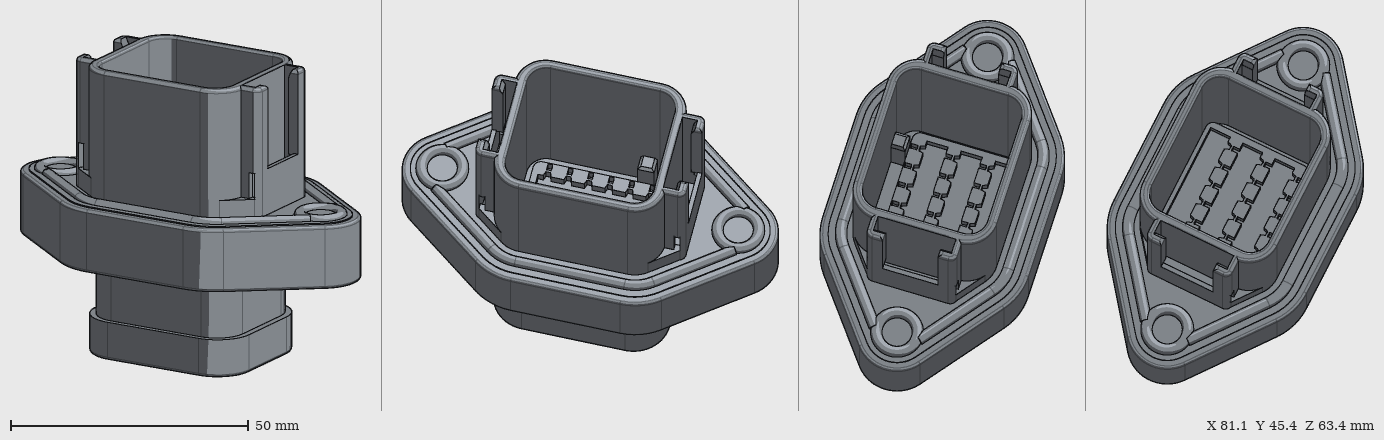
import cadquery as cq
import math

PART_BOTTOM = -21.0
COLLAR_TOP = -12.7
RIM_TOP = 13.75
DECK_TOP = 14.0
PART_TOP = 42.37
CAVITY_FLOOR = 2.0
INSERT_TOP = 6.0

CORNER_X = 11.85
CORNER_Y = 9.1

EAR_X = 32.05
EAR_RADIUS = 81.07 / 2 - EAR_X
SHOULDER_RADIUS = 45.36 / 2 - CORNER_Y
FLANGE_EDGE_FILLET = 0.6
BORDER_WIDTH = 1.75

BEAD_RADIUS = 1.22
BEAD_INSET = 4.46
BEAD_AXIS_Z = 13.85
RING_RADIUS = 4.38
STRIP_SETBACK = 2.7

NECK_SIZE = (35.05, 28.25)
NECK_CORNER = 6.4
COLLAR_SIZE = (38.0, 30.7)
COLLAR_CORNER = 7.8
COLLAR_BOTTOM_FILLET = 0.6

HOUSING_CORNER = 6.6
HOUSING_SIZE = (2 * (CORNER_X + HOUSING_CORNER), 2 * (CORNER_Y + HOUSING_CORNER))
RIM_OUTER_FILLET = 0.75
CAVITY_SIZE = (32.1, 27.5)
CAVITY_CORNER = 4.2
CAVITY_RIM_FILLET = 0.5

GUARD_X = 22.75
GUARD_Y = 9.9
GUARD_CORNER = 1.5
GUARD_WALL = 1.0
GUARD_INNER_Y = 8.6
GUARD_POCKET_X = 17.9
WINDOW_Y = 6.1
WINDOW_SILL = 24.1
SLOT_X = (20.45, 21.75)
SLOT_Z = (18.1, 23.75)
PILLAR_INNER_X = 20.4
PILLAR_CHAMFER = (0.8, 1.8)
GUSSET_OUTER_X = 22.4

INSERT_HALF_X = 14.5
INSERT_Y = (-10.6, 13.3)
INSERT_CORNER = 1.7
ROW_COUNT = 3
ROW_PITCH = 7.57
ROW_TOP_Y = 12.33
ROW_HEIGHT = 4.65
ROW_HALF_X = 13.1
NOTCH_COUNT = 6
NOTCH_PITCH = 4.44
NOTCH_DEPTH = 1.0
NOTCH_WIDE = 1.7
NOTCH_NARROW = 1.0
TAB_WIDTH = 1.0
TAB_LENGTH = 1.42
POCKET_DEPTH = 2.0

KEY_X = (-11.3, -7.7)
KEY_TIP_Y = -10.6
KEY_TOP = 12.0
KEY_CHAMFER = 0.6

CENTRE_DX = EAR_X - CORNER_X
CENTRE_DISTANCE = math.hypot(CENTRE_DX, CORNER_Y)
LINK_ANGLE = math.atan2(CORNER_Y, -CENTRE_DX)
SLANT_ANGLE = LINK_ANGLE - math.acos((EAR_RADIUS - SHOULDER_RADIUS) / CENTRE_DISTANCE)


def point_on(centre_x, centre_y, radius, angle):
    """Point on a circle at an angle in radians."""
    return centre_x + radius * math.cos(angle), centre_y + radius * math.sin(angle)


def mirrored(point):
    """Point mirrored across the YZ plane."""
    return -point[0], point[1]


def ear_tangent_point(inset, setback):
    """Point on the slanted edge, moved inward, at a distance from the ear arc."""
    x, y = point_on(EAR_X, 0, EAR_RADIUS - inset, SLANT_ANGLE)
    return x - setback * math.sin(SLANT_ANGLE), y + setback * math.cos(SLANT_ANGLE)


def upper_path(inset, setback=0):
    """Flange edge, moved inward, from the +X ear over the +Y side to the -X ear."""
    shoulder_radius = SHOULDER_RADIUS - inset
    ear = ear_tangent_point(inset, setback)
    shoulder = point_on(CORNER_X, CORNER_Y, shoulder_radius, SLANT_ANGLE)
    middle = point_on(CORNER_X, CORNER_Y, shoulder_radius, (SLANT_ANGLE + math.pi / 2) / 2)
    crest = (CORNER_X, CORNER_Y + shoulder_radius)
    return (
        cq.Workplane("XY")
        .moveTo(*ear)
        .lineTo(*shoulder)
        .threePointArc(middle, crest)
        .lineTo(*mirrored(crest))
        .threePointArc(mirrored(middle), mirrored(shoulder))
        .lineTo(*mirrored(ear))
    )


def flange_plate(inset, height):
    """Six-sided plate with rounded corners, standing on Z = 0."""
    ear_radius = EAR_RADIUS - inset
    ear_start = ear_tangent_point(inset, 0)
    ear_middle = point_on(EAR_X, 0, ear_radius, SLANT_ANGLE / 2)
    ear_end = (EAR_X + ear_radius, 0)
    half = (
        upper_path(inset)
        .threePointArc(mirrored(ear_middle), mirrored(ear_end))
        .lineTo(*ear_end)
        .threePointArc(ear_middle, ear_start)
        .close()
        .extrude(height)
    )
    return half.union(half.mirror("XZ")).clean()


def rounded_block(size, corner, bottom, top):
    """Upright block with rounded vertical edges."""
    return (
        cq.Workplane("XY", origin=(0, 0, bottom))
        .rect(*size)
        .extrude(top - bottom)
        .edges("|Z")
        .fillet(corner)
    )


def box_between(x_range, y_range, z_range):
    """Box from its limits on each axis."""
    size = [limits[1] - limits[0] for limits in (x_range, y_range, z_range)]
    return cq.Workplane("XY", origin=(x_range[0], y_range[0], z_range[0])).box(*size, centered=False)


def make_flange():
    rim = flange_plate(0, RIM_TOP).faces("<Z or >Z").edges().fillet(FLANGE_EDGE_FILLET)
    return rim.union(flange_plate(BORDER_WIDTH, DECK_TOP))


def add_bead(flange):
    """Add a half-round bead along both long sides plus a ring at each flange end."""
    start = ear_tangent_point(BEAD_INSET, STRIP_SETBACK)
    direction = (-math.sin(SLANT_ANGLE), math.cos(SLANT_ANGLE), 0)
    start_plane = cq.Plane(origin=(*start, 0), xDir=(0, 0, 1), normal=direction)
    strip = cq.Workplane(start_plane).circle(BEAD_RADIUS).sweep(upper_path(BEAD_INSET, STRIP_SETBACK))
    strip = strip.translate((0, 0, BEAD_AXIS_Z))
    flange = flange.union(strip).union(strip.mirror("XZ"))
    for side in (-1, 1):
        ring = (
            cq.Workplane("XZ", origin=(side * EAR_X, 0, BEAD_AXIS_Z))
            .center(RING_RADIUS, 0)
            .circle(BEAD_RADIUS)
            .revolve(360, (-RING_RADIUS, 0), (-RING_RADIUS, 1))
        )
        flange = flange.union(ring)
    return flange


def make_plug():
    neck = rounded_block(NECK_SIZE, NECK_CORNER, COLLAR_TOP, 0)
    collar = rounded_block(COLLAR_SIZE, COLLAR_CORNER, PART_BOTTOM, COLLAR_TOP)
    return neck.union(collar.faces("<Z").edges().fillet(COLLAR_BOTTOM_FILLET))


def make_housing():
    housing = rounded_block(HOUSING_SIZE, HOUSING_CORNER, 0, PART_TOP)
    return housing.faces(">Z").edges().fillet(RIM_OUTER_FILLET)


def make_gusset():
    """Low web tangent to the +X, +Y housing corner and parallel to the flange side."""
    tangent_x, tangent_y = point_on(CORNER_X, CORNER_Y, HOUSING_CORNER, SLANT_ANGLE)
    outer_y = tangent_y - (GUSSET_OUTER_X - tangent_x) / math.tan(SLANT_ANGLE)
    return (
        cq.Workplane("XY", origin=(0, 0, RIM_TOP))
        .moveTo(CORNER_X, CORNER_Y)
        .lineTo(tangent_x, tangent_y)
        .lineTo(GUSSET_OUTER_X, outer_y)
        .lineTo(GUSSET_OUTER_X, GUARD_INNER_Y)
        .lineTo(CORNER_X, GUARD_INNER_Y)
        .close()
        .extrude(SLOT_Z[0] - RIM_TOP)
    )


def make_guard_body():
    """Guard block on the +X side, before its pocket is cut."""
    body = box_between((CORNER_X, GUARD_X), (-GUARD_Y, GUARD_Y), (RIM_TOP, PART_TOP))
    body = body.edges("|Z and >X").fillet(GUARD_CORNER)
    body = body.cut(box_between((CORNER_X, GUARD_X), (-WINDOW_Y, WINDOW_Y), (WINDOW_SILL, PART_TOP)))
    body = body.faces(">Z").edges("not <X").fillet(RIM_OUTER_FILLET)
    gusset = make_gusset()
    return body.union(gusset).union(gusset.mirror("XZ"))


def make_guard_pocket():
    """Space inside the +X guard, leaving a thick pillar at each end of the window."""
    wall_x = GUARD_X - GUARD_WALL
    pocket = box_between((GUARD_POCKET_X, wall_x), (-GUARD_INNER_Y, GUARD_INNER_Y), (DECK_TOP, PART_TOP))
    pillar = (
        cq.Workplane("XZ", origin=(0, GUARD_INNER_Y, 0))
        .moveTo(PILLAR_INNER_X, SLOT_Z[1])
        .lineTo(GUARD_X, SLOT_Z[1])
        .lineTo(GUARD_X, PART_TOP)
        .lineTo(PILLAR_INNER_X + PILLAR_CHAMFER[0], PART_TOP)
        .lineTo(PILLAR_INNER_X, PART_TOP - PILLAR_CHAMFER[1])
        .close()
        .extrude(GUARD_INNER_Y - WINDOW_Y)
    )
    slots = box_between(SLOT_X, (-GUARD_Y, GUARD_Y), SLOT_Z)
    return pocket.cut(pillar).cut(pillar.mirror("XZ")).union(slots)


def cut_cavity(body):
    """Hollow out the housing and round the inner edge of its mouth."""
    body = body.cut(rounded_block(CAVITY_SIZE, CAVITY_CORNER, CAVITY_FLOOR, PART_TOP))
    reach_x = CAVITY_SIZE[0] / 2 + CAVITY_RIM_FILLET
    reach_y = CAVITY_SIZE[1] / 2 + CAVITY_RIM_FILLET
    mouth = cq.selectors.BoxSelector((-reach_x, -reach_y, CAVITY_FLOOR), (reach_x, reach_y, PART_TOP + 1))
    return body.faces(">Z").edges(mouth).fillet(CAVITY_RIM_FILLET)


def make_contact_row(top_y):
    """One row pocket with tapered notches, and the short tab pockets below it."""
    base = INSERT_TOP - POCKET_DEPTH
    bottom_y = top_y - ROW_HEIGHT
    row = box_between((-ROW_HALF_X, ROW_HALF_X), (bottom_y, top_y), (base, INSERT_TOP))
    tab_bottom = top_y - ROW_PITCH
    for index in range(NOTCH_COUNT):
        x = (index - (NOTCH_COUNT - 1) / 2) * NOTCH_PITCH
        notch = (
            cq.Workplane("XY", origin=(x, bottom_y, base))
            .moveTo(-NOTCH_WIDE / 2, 0)
            .lineTo(-NOTCH_NARROW / 2, -NOTCH_DEPTH)
            .lineTo(NOTCH_NARROW / 2, -NOTCH_DEPTH)
            .lineTo(NOTCH_WIDE / 2, 0)
            .close()
            .extrude(POCKET_DEPTH)
        )
        tab_x = (x - TAB_WIDTH / 2, x + TAB_WIDTH / 2)
        tab = box_between(tab_x, (tab_bottom, tab_bottom + TAB_LENGTH), (base, INSERT_TOP))
        row = row.union(notch).union(tab)
    return row


def make_insert():
    """Raised contact block with its rows of pockets."""
    insert = box_between((-INSERT_HALF_X, INSERT_HALF_X), INSERT_Y, (0, INSERT_TOP))
    insert = insert.edges("|Z").fillet(INSERT_CORNER)
    for index in range(ROW_COUNT):
        insert = insert.cut(make_contact_row(ROW_TOP_Y - index * ROW_PITCH))
    return insert


def make_key():
    wall_y = -HOUSING_SIZE[1] / 2 + RIM_OUTER_FILLET
    key = box_between(KEY_X, (wall_y, KEY_TIP_Y), (0, KEY_TOP))
    return key.edges("(>Z and >Y) or (>Z and <X) or (>Z and >X)").chamfer(KEY_CHAMFER)


shell = add_bead(make_flange()).union(make_plug()).union(make_housing())
guard_body = make_guard_body()
guard_pocket = make_guard_pocket()
shell = shell.union(guard_body).union(guard_body.mirror("YZ"))
shell = shell.cut(guard_pocket).cut(guard_pocket.mirror("YZ"))
shell = cut_cavity(shell)
result = shell.union(make_insert()).union(make_key())